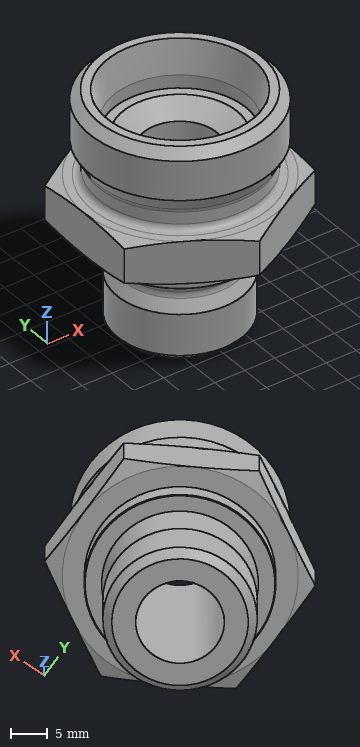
import cadquery as cq
import math

total_height = 38.0
lower_thread_top = 8.0
collar_bottom = 14.0
hex_bottom = 17.0
hex_top = 24.0
upper_thread_bottom = 30.02

lower_thread_diameter = 20.95
neck_diameter = 18.13
neck_top_diameter = 21.28
collar_diameter = 26.0
upper_groove_diameter = 27.0
upper_thread_diameter = 30.0
hex_across_flats = 32.0

lower_chamfer = 1.2
upper_chamfer = 1.5
collar_chamfer = 0.1
groove_fillet = 1.15
thread_runout_angle = math.radians(30)
hex_chamfer_angle = math.radians(16)

bore_diameter = 12.0
seat_diameter = 19.0
socket_diameter = 22.0
mouth_diameter = 24.25
socket_depth = 7.5
socket_cone_angle = math.radians(12)
seat_angle = math.radians(30)


def revolve_outline(points):
    """Turn (radius, height) points about the Z axis."""
    return cq.Workplane("XZ").polyline(points).close().revolve(360, (0, 0, 0), (0, 1, 0))


def ring_at(diameter, level):
    """Select the full circular edge of a given diameter and level."""
    margin = 0.05
    half_box = diameter / 2 + margin
    return cq.selectors.BoxSelector(
        (-half_box, -half_box, level - margin), (half_box, half_box, level + margin), boundingbox=True
    )


def make_lower_stub():
    thread_radius = lower_thread_diameter / 2
    neck_radius = neck_diameter / 2
    neck_level = lower_thread_top + (thread_radius - neck_radius) / math.tan(thread_runout_angle)
    stub = revolve_outline([
        (0, 0),
        (thread_radius - lower_chamfer, 0),
        (thread_radius, lower_chamfer),
        (thread_radius, lower_thread_top),
        (neck_radius, neck_level),
        (neck_top_diameter / 2, collar_bottom),
        (0, collar_bottom),
    ])
    return stub.edges(ring_at(neck_diameter, neck_level)).fillet(groove_fillet)


def make_collar():
    collar = cq.Workplane("XY").workplane(offset=collar_bottom)
    collar = collar.circle(collar_diameter / 2).extrude(hex_bottom - collar_bottom)
    return collar.faces("<Z").edges().chamfer(collar_chamfer)


def make_hex():
    across_corners = hex_across_flats / math.cos(math.radians(30))
    hexagon = (
        cq.Workplane("XY").workplane(offset=hex_bottom)
        .polygon(6, across_corners).extrude(hex_top - hex_bottom)
        .rotate((0, 0, 0), (0, 0, 1), 30)
    )
    flat_radius = hex_across_flats / 2
    corner_radius = across_corners / 2
    corner_drop = (corner_radius - flat_radius) * math.tan(hex_chamfer_angle)
    envelope = revolve_outline([
        (0, hex_bottom),
        (flat_radius, hex_bottom),
        (corner_radius, hex_bottom + corner_drop),
        (corner_radius, hex_top - corner_drop),
        (flat_radius, hex_top),
        (0, hex_top),
    ])
    return hexagon.intersect(envelope)


def make_upper_stub():
    thread_radius = upper_thread_diameter / 2
    groove_radius = upper_groove_diameter / 2
    groove_top = upper_thread_bottom - (thread_radius - groove_radius) / math.tan(thread_runout_angle)
    stub = revolve_outline([
        (0, hex_top),
        (groove_radius, hex_top),
        (groove_radius, groove_top),
        (thread_radius, upper_thread_bottom),
        (thread_radius, total_height - upper_chamfer),
        (thread_radius - upper_chamfer, total_height),
        (0, total_height),
    ])
    return stub.edges(ring_at(upper_groove_diameter, groove_top)).fillet(groove_fillet)


def make_bore():
    bore_radius = bore_diameter / 2
    seat_radius = seat_diameter / 2
    socket_radius = socket_diameter / 2
    mouth_radius = mouth_diameter / 2
    socket_floor = total_height - socket_depth
    seat_bottom = socket_floor - (seat_radius - bore_radius) * math.tan(seat_angle)
    cone_bottom = total_height - (mouth_radius - socket_radius) / math.tan(socket_cone_angle)
    return revolve_outline([
        (0, 0),
        (bore_radius, 0),
        (bore_radius, seat_bottom),
        (seat_radius, socket_floor),
        (socket_radius, socket_floor),
        (socket_radius, cone_bottom),
        (mouth_radius, total_height),
        (0, total_height),
    ])


body = make_lower_stub().union(make_collar()).union(make_hex()).union(make_upper_stub())
body = body.edges(ring_at(upper_groove_diameter, hex_top)).fillet(groove_fillet)
result = body.cut(make_bore())